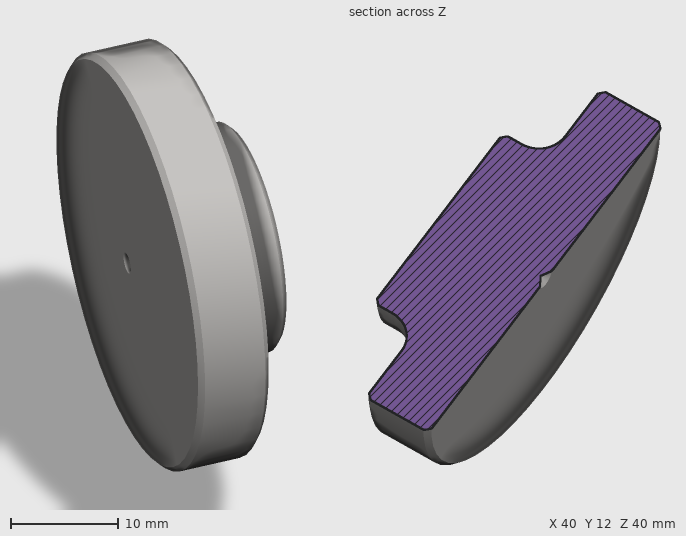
import cadquery as cq
import math

disc_diameter = 40.0
disc_thickness = 7.0
boss_diameter = 22.0
total_depth = 12.0
edge_chamfer = 0.5
root_fillet = 2.9

mark_diameter = 2.0
mark_angle = 120.0

mark_depth = mark_diameter / 2 / math.tan(math.radians(mark_angle / 2))
disc_radius = disc_diameter / 2
boss_radius = boss_diameter / 2
fillet_end = disc_thickness + root_fillet


def turned_body():
    """Revolve the half profile, drawn as (radius, Y), about the Y axis."""
    profile = (
        cq.Workplane("XY")
        .moveTo(0, mark_depth)
        .lineTo(mark_diameter / 2, 0)
        .lineTo(disc_radius - edge_chamfer, 0)
        .lineTo(disc_radius, edge_chamfer)
        .lineTo(disc_radius, disc_thickness - edge_chamfer)
        .lineTo(disc_radius - edge_chamfer, disc_thickness)
        .lineTo(boss_radius + root_fillet, disc_thickness)
        .radiusArc((boss_radius, fillet_end), root_fillet)
        .lineTo(boss_radius, total_depth - edge_chamfer)
        .lineTo(boss_radius - edge_chamfer, total_depth)
        .lineTo(0, total_depth)
        .close()
    )
    return profile.revolve(360, (0, 0, 0), (0, 1, 0))


result = turned_body()